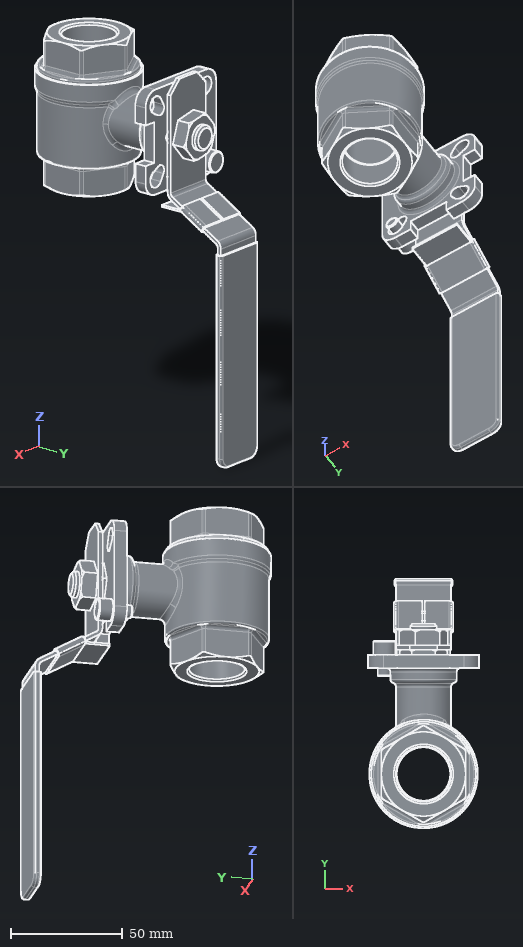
import cadquery as cq
import math

body_diameter = 47.0
ring_diameter = 49.0
half_length = 36.0
body_bottom = -21.4
shoulder_fillet = 1.0
ring_taper_start = 8.0
ring_bottom = 11.0
ring_top = 19.0
cap_top = 21.2

hex_flats = 38.0
hex_corner_fillet = 1.7
hex_chamfer_angle = 30
hex_root_fillet = 1.7
margin = 0.02

bore_diameter = 24.0
socket_diameter = 25.0
socket_depth = 15.0
socket_chamfer = 1.0

neck_diameter = 25.0
collar_diameter = 30.0
collar_start = 39.3
collar_full = 42.6
neck_fillet = 2.6

flange_width = 50.0
flange_back = 47.6
flange_thickness = 6.0
flange_front = flange_back + flange_thickness
flange_corner = 6.9
flange_root_fillet = 1.7

outer_hole_diameter = 8.0
inner_hole_diameter = 6.0
outer_hole_offset = 17.7
inner_hole_offset = 14.9
lock_notch_width = 19.4
lock_notch_depth = 6.1

stem_diameter = 12.0
stem_end = 67.7
stem_chamfer = 1.1
gland_corner_diameter = 21.5
gland_chamfer = 0.7
nut_corner_diameter = 22.3
nut_end = 65.0
nut_turn = 11
nut_chamfer = 1.0

lever_width = 25.0
lever_thickness = 1.9
lever_inner = 56.0
lever_outer = lever_inner + lever_thickness
lever_top = 28.0
lever_top_chamfer = 6.3
lever_slope = 30
lever_offset = 29.2
upper_bend_z = -26.5
bend_radius = 3.0
padlock_hole_diameter = 5.0

total_length = 186.1
grip_bottom = half_length - total_length
grip_top = -48.4
grip_wall = 0.84
grip_side_wall = 0.65
grip_corner = 5.2
grip_fillet = 1.1

slide_position = 0.47
slide_length = 14.5
slide_wall = 1.0
slide_side_wall = 1.0
slide_seam = 1.3
tab_end = 52.5
tab_overlap = 1.0
tab_z = -32.2
tab_width = 24.2

screw_head_diameter = 10.0
screw_head_height = 6.3
screw_diameter = 6.0
screw_end = 44.0
screw_chamfer = 0.47

lever_middle = lever_inner + lever_thickness / 2
leg_middle = lever_middle + lever_offset
slope = math.radians(lever_slope)
lower_bend_z = upper_bend_z - lever_offset * math.tan(slope)
slide_y = lever_middle + lever_offset * slide_position
slide_z = upper_bend_z - (slide_y - lever_middle) * math.tan(slope)


def disc(diameter, z_from, z_to):
    return cq.Workplane("XY", origin=(0, 0, z_from)).circle(diameter / 2).extrude(z_to - z_from)


def y_plane(y, x=0, z=0):
    """Plane facing +Y; its local x is -X and its local y is +Z."""
    return cq.Workplane(cq.Plane(origin=(x, y, z), xDir=(-1, 0, 0), normal=(0, 1, 0)))


def y_cylinder(diameter, y_from, y_to, x=0, z=0):
    return y_plane(y_from, x, z).circle(diameter / 2).extrude(y_to - y_from)


def turned_hexagon(corner_diameter, y_from, y_to, turn, chamfer):
    """Hexagonal prism along Y whose outer corners are turned to a cone."""
    prism = y_plane(y_from).polygon(6, corner_diameter).extrude(y_to - y_from)
    prism = prism.rotate((0, 0, 0), (0, 1, 0), turn)
    cone = y_cylinder(corner_diameter, y_from, y_to).faces(">Y").chamfer(chamfer)
    return prism.intersect(cone)


def wrench_end(shoulder_z):
    """Wrench end at the +Z end: a turned hexagon filleted onto a round-rimmed shoulder."""
    sharp_diameter = hex_flats / math.cos(math.pi / 6)
    height = half_length - shoulder_z
    prism = cq.Workplane("XY", origin=(0, 0, shoulder_z)).polygon(6, sharp_diameter).extrude(height)
    prism = prism.edges("|Z").fillet(hex_corner_fillet).rotate((0, 0, 0), (0, 0, 1), 30)
    overhang = (sharp_diameter - hex_flats) / 2
    drop = overhang * math.tan(math.radians(hex_chamfer_angle))
    turning = disc(sharp_diameter, shoulder_z, half_length).faces(">Z").chamfer(drop, overhang)
    shoulder = disc(body_diameter, 0, shoulder_z)
    end = shoulder.union(prism.intersect(turning))
    around = cq.selectors.BoxSelector(
        (-body_diameter, -body_diameter, shoulder_z - margin),
        (body_diameter, body_diameter, shoulder_z + margin),
    )
    rim_center = cq.selectors.BoxSelector(
        (-margin, -margin, shoulder_z - margin), (margin, margin, shoulder_z + margin)
    )
    end = end.edges(around - rim_center).fillet(hex_root_fillet)
    envelope = disc(body_diameter, 0, shoulder_z).faces(">Z").edges().fillet(shoulder_fillet)
    envelope = envelope.union(disc(body_diameter - 2 * shoulder_fillet, 0, half_length))
    return end.intersect(envelope)


def make_barrel():
    body_r = body_diameter / 2
    ring_r = ring_diameter / 2
    blend = ((body_r + ring_r) / 2, (ring_taper_start + ring_bottom) / 2)
    ring = (
        cq.Workplane("XZ")
        .moveTo(0, body_bottom / 2)
        .lineTo(body_r, body_bottom / 2)
        .lineTo(body_r, ring_taper_start)
        .tangentArcPoint(blend, relative=False)
        .tangentArcPoint((ring_r, ring_bottom), relative=False)
        .lineTo(ring_r, ring_top)
        .lineTo(0, ring_top)
        .close()
        .revolve(360, (0, 0, 0), (0, 1, 0))
    )
    lower_end = wrench_end(-body_bottom).mirror("XY")
    return wrench_end(cap_top).union(lower_end).union(ring)


def make_neck():
    neck_r = neck_diameter / 2
    collar_r = collar_diameter / 2
    blend = ((neck_r + collar_r) / 2, (collar_start + collar_full) / 2)
    root_r = collar_r + flange_root_fillet
    profile = (
        cq.Workplane("XY")
        .moveTo(0, 0)
        .lineTo(neck_r, 0)
        .lineTo(neck_r, collar_start)
        .tangentArcPoint(blend, relative=False)
        .tangentArcPoint((collar_r, collar_full), relative=False)
        .lineTo(collar_r, flange_back - flange_root_fillet)
        .radiusArc((root_r, flange_back), flange_root_fillet)
        .lineTo(0, flange_back)
        .close()
    )
    return profile.revolve(360, (0, 0, 0), (0, 1, 0))


def mounting_slot(sign_x, sign_z):
    """Keyhole slot: a large outer hole and a small inner hole joined by straight sides."""
    spacing = (outer_hole_offset - inner_hole_offset) * math.sqrt(2)
    start = inner_hole_offset * math.sqrt(2)
    large = outer_hole_diameter / 2
    small = inner_hole_diameter / 2
    lean = math.asin((large - small) / spacing)
    far = start + spacing
    first = flange_back - flange_root_fillet
    plane = cq.Plane(origin=(0, first, 0), xDir=(1, 0, 0), normal=(0, 1, 0))
    outline = (
        cq.Workplane(plane)
        .moveTo(start - small * math.sin(lean), small * math.cos(lean))
        .lineTo(far - large * math.sin(lean), large * math.cos(lean))
        .threePointArc((far + large, 0), (far - large * math.sin(lean), -large * math.cos(lean)))
        .lineTo(start - small * math.sin(lean), -small * math.cos(lean))
        .threePointArc((start - small, 0), (start - small * math.sin(lean), small * math.cos(lean)))
        .close()
    )
    cutter = outline.extrude(flange_front - first)
    angle = math.degrees(math.atan2(sign_z, sign_x))
    return cutter.rotate((0, 0, 0), (0, 1, 0), -angle)


def make_flange():
    flange = y_plane(flange_back).rect(flange_width, flange_width).extrude(flange_thickness)
    return flange.edges("|Y").fillet(flange_corner)


def lock_notch_cutter():
    """Two notches for the lock tab: one in the -Z edge, and one in the +X edge a quarter turn away."""
    lower = (
        y_plane(flange_back, 0, -flange_width / 2)
        .rect(lock_notch_width, 2 * lock_notch_depth)
        .extrude(flange_thickness)
    )
    return lower.union(lower.rotate((0, 0, 0), (0, 1, 0), -90))


def bore_cutter():
    """Through bore with a wider chamfered socket at each end."""
    mouth_r = socket_diameter / 2 + socket_chamfer
    profile = [
        (0, 0),
        (bore_diameter / 2, 0),
        (bore_diameter / 2, half_length - socket_depth),
        (socket_diameter / 2, half_length - socket_depth),
        (socket_diameter / 2, half_length - socket_chamfer),
        (mouth_r, half_length),
        (0, half_length),
    ]
    upper = cq.Workplane("XZ").polyline(profile).close().revolve(360, (0, 0, 0), (0, 1, 0))
    return upper.union(upper.mirror("XY"))


def make_valve_body():
    neck_r = neck_diameter / 2
    joint = cq.selectors.BoxSelector(
        (-neck_r, neck_r, -neck_r), (neck_r, (ring_diameter + neck_r) / 2, neck_r)
    )
    body = make_barrel().union(make_neck()).edges(joint).fillet(neck_fillet)
    body = body.union(make_flange())
    for sign_x in (1, -1):
        for sign_z in (1, -1):
            body = body.cut(mounting_slot(sign_x, sign_z))
    body = body.cut(lock_notch_cutter())
    gland = turned_hexagon(gland_corner_diameter, flange_front, lever_inner, 0, gland_chamfer)
    stem = y_cylinder(stem_diameter, flange_front, stem_end).faces(">Y").chamfer(stem_chamfer)
    return body.union(gland).union(stem).cut(bore_cutter())


def lever_blank(bottom):
    """Bent strip of full width, without holes, ending at the given Z."""
    half = lever_thickness / 2
    tilt = half * math.tan((math.pi / 2 - slope) / 2)
    outline = [
        (lever_middle - half, lever_top),
        (lever_middle + half, lever_top),
        (lever_middle + half, upper_bend_z + tilt),
        (leg_middle + half, lower_bend_z + tilt),
        (leg_middle + half, bottom),
        (leg_middle - half, bottom),
        (leg_middle - half, lower_bend_z - tilt),
        (lever_middle - half, upper_bend_z - tilt),
    ]
    strip = cq.Workplane("YZ", origin=(-lever_width / 2, 0, 0)).polyline(outline).close().extrude(lever_width)
    inside = bend_radius - half
    outside = bend_radius + half
    for y, z, radius in (
        (lever_middle + half, upper_bend_z + tilt, inside),
        (lever_middle - half, upper_bend_z - tilt, outside),
        (leg_middle + half, lower_bend_z + tilt, outside),
        (leg_middle - half, lower_bend_z - tilt, inside),
    ):
        strip = strip.edges(cq.NearestToPointSelector((0, y, z))).fillet(radius)
    return strip


def make_lever():
    lever = lever_blank(grip_bottom + grip_wall)
    lever = lever.edges("|Y").edges(">Z").chamfer(lever_top_chamfer)
    lever = lever.edges("|Y").edges("<Z").fillet(grip_corner - grip_side_wall)
    lever = lever.cut(y_cylinder(stem_diameter, lever_inner, lever_outer))
    padlock_hole = slide_plane().circle(padlock_hole_diameter / 2).extrude(lever_thickness, both=True)
    return lever.cut(padlock_hole)


def make_grip(lever):
    width = lever_width + 2 * grip_side_wall
    thickness = lever_thickness + 2 * grip_wall
    grip = (
        y_plane(leg_middle - thickness / 2, 0, (grip_top + grip_bottom) / 2)
        .rect(width, grip_top - grip_bottom)
        .extrude(thickness)
        .edges("|Y and <Z")
        .fillet(grip_corner)
    )
    grip = grip.edges("(>Y or <Y) and (not >Z)").fillet(grip_fillet)
    return grip.cut(lever)


def slide_plane():
    """Plane on the sloping stretch: local x is X, local y runs up the slope."""
    normal = (0, math.sin(slope), math.cos(slope))
    return cq.Workplane(cq.Plane(origin=(0, slide_y, slide_z), xDir=(1, 0, 0), normal=normal))


def make_slide():
    width = lever_width + 2 * slide_side_wall
    thickness = lever_thickness + 2 * slide_wall
    section = cq.Plane(
        origin=(0, slide_y, slide_z), xDir=(1, 0, 0), normal=(0, math.cos(slope), -math.sin(slope))
    )
    slide = cq.Workplane(section).slot2D(width, thickness).extrude(slide_length / 2, both=True)
    seam = slide_plane().rect(slide_seam, slide_length).extrude(thickness)
    slide = slide.cut(seam)
    tab_root = slide_y - (slide_length / 2 - tab_overlap) * math.cos(slope)
    tab = cq.Workplane("XY").box(tab_width, tab_root - tab_end, slide_wall)
    tab = tab.translate((0, (tab_root + tab_end) / 2, tab_z))
    core = slide_plane().rect(lever_width, 3 * slide_length).extrude(lever_thickness / 2, both=True)
    return slide.union(tab).cut(core)


def make_nut():
    nut = turned_hexagon(nut_corner_diameter, lever_outer, nut_end, nut_turn, nut_chamfer)
    return nut.cut(y_cylinder(stem_diameter, lever_outer, nut_end))


def make_stop_screw():
    place = (-outer_hole_offset, -outer_hole_offset)
    shank = y_cylinder(screw_diameter, screw_end, flange_front, *place).faces("<Y").chamfer(screw_chamfer)
    head = y_cylinder(screw_head_diameter, flange_front, flange_front + screw_head_height, *place)
    return shank.union(head.faces(">Y").chamfer(screw_chamfer))


valve_body = make_valve_body()
lever = make_lever()
grip = make_grip(lever)
slide = make_slide()
nut = make_nut()
stop_screw = make_stop_screw()

bodies = [valve_body, lever, grip, slide, nut, stop_screw]
result = cq.Compound.makeCompound([body.solids().val() for body in bodies])